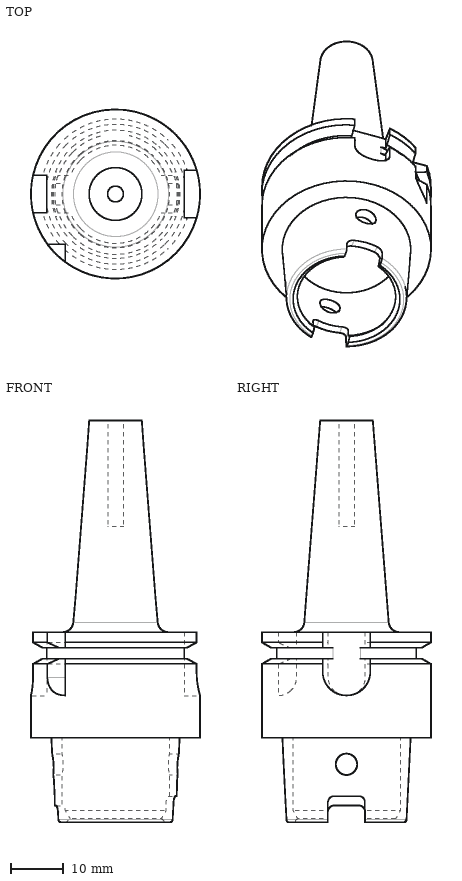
import math

import cadquery as cq

total_height = 76.0
shank_length = 16.0
flange_length = 20.0
flange_top = shank_length + flange_length

shank_gauge_diameter = 24.3
shank_taper_ratio = 0.1
shank_end_diameter = shank_gauge_diameter - shank_taper_ratio * shank_length
shank_end_rounding = 0.6

mouth_diameter = 18.6
mouth_bevel = 0.8
clamping_half_angle = 30.0
chamber_diameter = 20.3
chamber_top = shank_length

cross_hole_diameter = 4.0
cross_hole_height = 11.0

notch_width = 7.0
shallow_notch_depth = 3.2
deep_notch_depth = 5.0
notch_corner_radius = 1.2

flange_diameter = 32.0
groove_diameter = 26.5
groove_center_height = 32.0
groove_floor_width = 2.05
groove_flank_depth = 1.75
groove_flank_angle = 30.0

slot_bottom_height = 24.0
side_slot_floor = 13.0
narrow_slot_width = 7.0
wide_slot_width = 9.0
corner_slot_offset = 13.0
corner_slot_floor = 9.5

nose_tip_diameter = 10.0
nose_half_angle = 4.5
nose_root_fillet = 2.0
tool_bore_diameter = 3.0
tool_bore_depth = 20.0


def make_body():
    """Revolve the solid outline of shank, flange and nose about Z."""
    shank_end_radius = shank_end_diameter / 2
    flange_radius = flange_diameter / 2
    groove_radius = groove_diameter / 2
    flank_radius = flange_radius - groove_flank_depth
    groove_half_floor = groove_floor_width / 2
    flank_height = groove_flank_depth * math.tan(math.radians(groove_flank_angle))
    groove_half_mouth = groove_half_floor + flank_height

    angle = math.radians(nose_half_angle)
    tip_radius = nose_tip_diameter / 2
    fillet_center_z = flange_top + nose_root_fillet
    fillet_top_z = fillet_center_z - nose_root_fillet * math.sin(angle)
    fillet_top_radius = tip_radius + (total_height - fillet_top_z) * math.tan(angle)
    fillet_center_radius = fillet_top_radius + nose_root_fillet * math.cos(angle)
    middle_angle = (math.pi / 2 + angle) / 2
    fillet_middle = (
        fillet_center_radius - nose_root_fillet * math.cos(middle_angle),
        fillet_center_z - nose_root_fillet * math.sin(middle_angle),
    )

    outline = (
        cq.Workplane("YZ")
        .moveTo(0, 0)
        .lineTo(shank_end_radius, 0)
        .lineTo(shank_gauge_diameter / 2, shank_length)
        .lineTo(flange_radius, shank_length)
        .lineTo(flange_radius, groove_center_height - groove_half_mouth)
        .lineTo(flank_radius, groove_center_height - groove_half_floor)
        .lineTo(groove_radius, groove_center_height - groove_half_floor)
        .lineTo(groove_radius, groove_center_height + groove_half_floor)
        .lineTo(flank_radius, groove_center_height + groove_half_floor)
        .lineTo(flange_radius, groove_center_height + groove_half_mouth)
        .lineTo(flange_radius, flange_top)
        .lineTo(fillet_center_radius, flange_top)
        .threePointArc(fillet_middle, (fillet_top_radius, fillet_top_z))
        .lineTo(tip_radius, total_height)
        .lineTo(0, total_height)
        .close()
    )
    body = outline.revolve(360, (0, 0, 0), (0, 1, 0))
    return body.faces("<Z").edges().fillet(shank_end_rounding)


def make_bores():
    """Shank bore from below, tool bore from above and the cross hole along X."""
    mouth_radius = mouth_diameter / 2
    chamber_radius = chamber_diameter / 2
    cone_height = (chamber_radius - mouth_radius) / math.tan(math.radians(clamping_half_angle))
    shank_bore = (
        cq.Workplane("YZ")
        .moveTo(0, 0)
        .lineTo(mouth_radius + mouth_bevel, 0)
        .lineTo(mouth_radius, mouth_bevel)
        .lineTo(chamber_radius, mouth_bevel + cone_height)
        .lineTo(chamber_radius, chamber_top)
        .lineTo(0, chamber_top)
        .close()
        .revolve(360, (0, 0, 0), (0, 1, 0))
    )
    tool_bore = (
        cq.Workplane("XY", origin=(0, 0, total_height))
        .circle(tool_bore_diameter / 2)
        .extrude(-tool_bore_depth)
    )
    cross_hole = (
        cq.Workplane("YZ")
        .center(0, cross_hole_height)
        .circle(cross_hole_diameter / 2)
        .extrude(flange_diameter / 2, both=True)
    )
    return shank_bore.union(tool_bore).union(cross_hole)


def make_notch(side, depth):
    """Notch across the shank wall on the +X (side=1) or -X (side=-1) side."""
    notch = cq.Workplane("XY").box(flange_diameter / 2, notch_width, depth, centered=(False, True, False))
    notch = notch.edges("|X and >Z").fillet(notch_corner_radius)
    if side < 0:
        notch = notch.mirror("YZ")
    return notch


def make_flange_slot(side, floor, width, offset=0.0):
    """Slot from x = side * floor outward, with a full-radius lower end."""
    radius = width / 2
    arc_center_height = slot_bottom_height + radius
    profile = (
        cq.Workplane("YZ", origin=(side * floor, offset, 0))
        .moveTo(-radius, flange_top)
        .lineTo(-radius, arc_center_height)
        .threePointArc((0, slot_bottom_height), (radius, arc_center_height))
        .lineTo(radius, flange_top)
        .close()
    )
    return profile.extrude(side * (flange_diameter / 2))


result = (
    make_body()
    .cut(make_bores())
    .cut(make_notch(-1, shallow_notch_depth))
    .cut(make_notch(1, deep_notch_depth))
    .cut(make_flange_slot(-1, side_slot_floor, narrow_slot_width))
    .cut(make_flange_slot(1, side_slot_floor, wide_slot_width))
    .cut(make_flange_slot(-1, corner_slot_floor, narrow_slot_width, -corner_slot_offset))
)